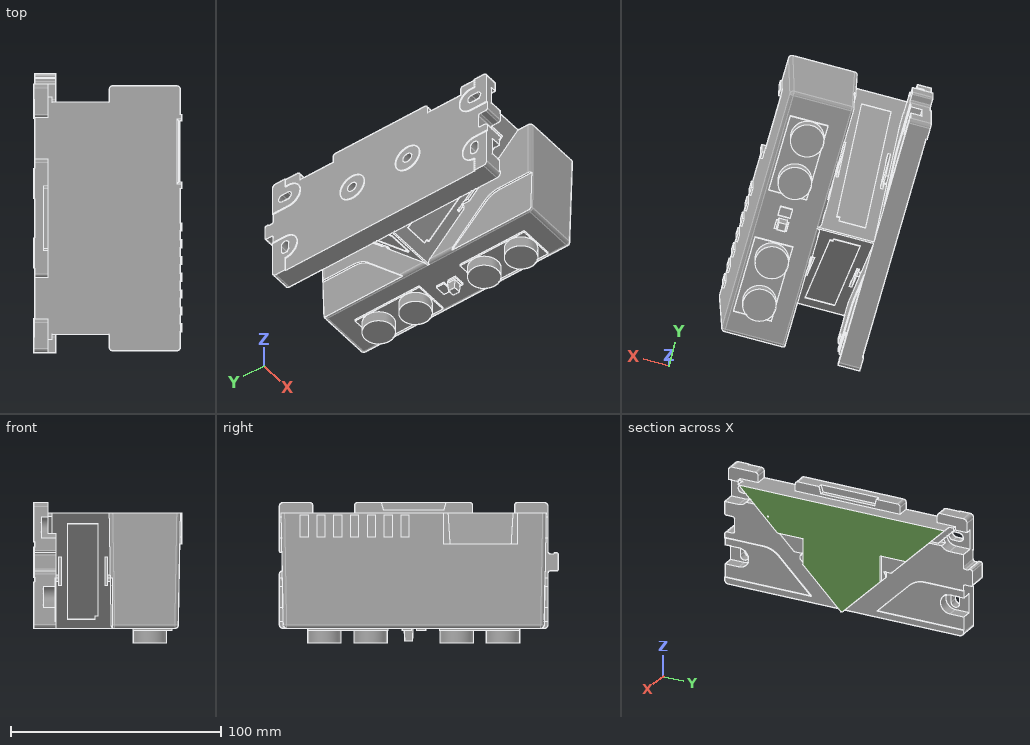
import cadquery as cq
overall_depth = 70.66
boss_bottom = -6.93
eps = 1.0

plate_half = 64.0
plate_top = 60.1
plate_back = 0.5
lug_front = 6.9
plate_front = 10.7
thick_plate_top = 45.3
corner_radius = 2.0
gap_inner = 28.1
gap_outer = 48.0
gap_radius = 1.5

tab_length = 4.83
tab_bottom = 27.4
tab_top = 36.1
tab_radius = 0.8
tab_root_radius = 1.0
tab_crest_y = 67.0
tab_dip_y = 66.5
tab_dip = 0.5
notch_depth = 5.3
notch_radius = 1.0
notch_top_mouth_radius = 1.0
notch_bottom_mouth_radius = 1.5

pad_y = 56.5
upper_slot_z = 48.2
lower_slot_z = 15.1
slot_length = 7.6
slot_width = 4.4
upper_pad_radius = 6.9
upper_pad_y = 54.5
lower_pad_radius = 7.1
screw_y = 16.5
screw_z = 31.6
screw_pad_radius = 7.2
screw_hole_radius = 2.6
end_pocket_radius = 5.0
upper_pocket_floor = 3.8
lower_pocket_floor = 4.65

clip_half = 15.4
clip_back = 4.65
clip_floor = 56.5
clip_end_slope = 1.0

body_top = 55.0
neck_half = 55.4
block_half = 63.1
block_back = 36.0
block_front = 69.9
block_draft = 1.0
block_radius = 1.7
hidden_front = block_front - 3.0
neck_start = 8.9
stop_half = 57.7
stop_height = 1.6

guide_spans = ((12.0, 13.3), (34.1, 35.2))
guide_top = 34.0
guide_bottom = 20.4
ledge_spans = ((10.2, 12.0), (35.2, 37.2))
ledge_top = 25.6
ledge_middle = 24.0
ledge_bottom = 22.4
ledge_lean = 0.8
side_recess_top = 24.0
side_recess_bend_y = 38.4
side_recess_radius = 12.0
block_recess_floor = 37.6
plate_recess_depth = 0.5
plate_recess_bottom = 3.3
label_x = (16.1, 30.7)
label_z = (4.4, 49.8)
label_corner = 1.5
label_depth = 0.2

frame_y = (14.1, 49.5)
frame_bottom = 40.2
window_y = (16.4, 47.3)
window_floor = 68.2
window_taper = 0.9
vent_count = 7
vent_pitch = 8.0
first_vent_y = -4.1
vent_width = 3.9
vent_front = 70.55
vent_bottom = 43.6

boss_x = 55.4
boss_radius = 8.0
boss_ys = (-42.5, -20.5, 20.5, 42.5)
plinth_x = (47.3, 66.0)
plinth_y = (12.2, 50.5)
plinth_drop = 1.0
foot_ys = ((1.3, 5.8), (-5.5, -1.1))
foot_length = 6.0
foot_embed = 1.7
pin_y = -2.4
pin_width = 4.4
pin_bottom = -6.0
pin_draft = 3.0


def box(x, y, z):
    """Box from (low, high) pairs along each axis."""
    corner = cq.Workplane("XY", origin=(x[0], y[0], z[0]))
    return corner.box(x[1] - x[0], y[1] - y[0], z[1] - z[0], centered=False)


def prism(points, x):
    """Y-Z polygon swept between two X positions."""
    return cq.Workplane("YZ").polyline(points).close().extrude(x[1] - x[0]).translate((x[0], 0, 0))


def cylinder(y, z, radius, x):
    """Round bar along X."""
    return cq.Workplane("YZ").center(y, z).circle(radius).extrude(x[1] - x[0]).translate((x[0], 0, 0))


def both_ends(shape):
    """The shape together with its mirror image in Y."""
    return shape.union(shape.mirror("XZ"))


def make_plate():
    x = (plate_back, plate_front)
    plate = box(x, (-plate_half, plate_half), (0, plate_top)).edges("|X").fillet(corner_radius)
    gap = box((0, plate_front + eps), (gap_inner, gap_outer), (body_top, plate_top))
    plate = plate.cut(both_ends(gap))
    for sign in (-1, 1):
        for y in (gap_inner, gap_outer):
            corner = cq.selectors.BoxSelector(
                (0, sign * y - eps, plate_top - eps), (plate_front + eps, sign * y + eps, plate_top + eps)
            )
            plate = plate.edges("|X").edges(corner).fillet(gap_radius)
    thin_zone = box((lug_front, plate_front + eps), (-plate_half, plate_half), (thick_plate_top, plate_top))
    plate = plate.cut(thin_zone)
    return plate.union(make_tab()).cut(make_notch())


def make_tab():
    """Tab with a shallow dip in its top and rounded roots where it meets the plate."""
    x = (plate_back, plate_front)
    root_y = plate_half + tab_root_radius
    dip_top = tab_top - tab_dip
    tip = plate_half + tab_length
    inner = plate_half - corner_radius
    tab = prism(
        [(inner, tab_bottom), (tip, tab_bottom), (tip, tab_top), (tab_crest_y, tab_top),
         (tab_dip_y, dip_top), (inner, dip_top)],
        x,
    )
    tab = tab.edges("|X and >Y").fillet(tab_radius)
    roots = box(x, (inner, root_y), (tab_bottom - tab_root_radius, dip_top + tab_root_radius))
    for z in (tab_bottom - tab_root_radius, dip_top + tab_root_radius):
        roots = roots.cut(cylinder(root_y, z, tab_root_radius, x))
    return tab.union(roots)


def make_notch():
    """Tool for the notch, whose mouth is rounded outwards at the end of the plate."""
    x = (0, plate_front + eps)
    notch = box(x, (-plate_half - eps, -plate_half + notch_depth), (tab_bottom, tab_top))
    notch = notch.edges("|X and >Y").fillet(notch_radius)
    mid_z = (tab_bottom + tab_top) / 2
    for edge_z, radius in ((tab_top, notch_top_mouth_radius), (tab_bottom, -notch_bottom_mouth_radius)):
        round_z = edge_z + radius
        inner_y = -plate_half + abs(radius)
        mouth = box(x, (-plate_half - eps, inner_y), (min(mid_z, round_z), max(mid_z, round_z)))
        notch = notch.union(mouth.cut(cylinder(inner_y, round_z, abs(radius), x)))
    return notch


def corner_pads():
    x = (0, lug_front)
    upper = cylinder(upper_pad_y, upper_slot_z, upper_pad_radius, x)
    upper = upper.union(
        box(x, (upper_pad_y, plate_half), (upper_slot_z - upper_pad_radius, upper_slot_z + upper_pad_radius))
    )
    upper = upper.union(box(x, (pad_y, plate_half), (upper_slot_z, plate_top)))
    lower = cylinder(pad_y, lower_slot_z, lower_pad_radius, x)
    lower = lower.union(box(x, (pad_y, plate_half), (0, lower_slot_z + lower_pad_radius)))
    rounded = box(x, (-plate_half, plate_half), (0, plate_top)).edges("|X").fillet(corner_radius)
    return both_ends(upper.union(lower).intersect(rounded))


def end_pocket(z, floor):
    """U-shaped pocket in the front of the plate, open at its end."""
    x = (floor, plate_front + eps)
    pocket = cylinder(pad_y, z, end_pocket_radius, x)
    return pocket.union(box(x, (pad_y, plate_half + eps), (z - end_pocket_radius, z + end_pocket_radius)))


def mounting_slot(z, angle):
    slot = cq.Workplane("YZ").center(pad_y, z).slot2D(slot_length, slot_width, angle)
    return slot.extrude(plate_front + eps)


def label_clip():
    half_floor = clip_half - clip_end_slope
    points = [(-clip_half, plate_top), (clip_half, plate_top), (half_floor, clip_floor), (-half_floor, clip_floor)]
    return prism(points, (clip_back, lug_front + eps))


def make_neck():
    """Middle of the housing, its two ends sloping inwards at 45 degrees to the bottom."""
    foot_half = neck_half - body_top
    points = [(-neck_half, body_top), (neck_half, body_top), (foot_half, 0), (-foot_half, 0)]
    neck = prism(points, (lug_front, hidden_front))
    stop_under = body_top - stop_height
    stop = [(0, body_top), (stop_half, body_top), (stop_half, stop_under), (stop_half - stop_under, 0), (0, 0)]
    return neck.union(both_ends(prism(stop, (lug_front, neck_start))))


def make_block():
    """Wide front of the housing, drafted all round towards the bottom."""
    mid_x = (block_back + block_front) / 2
    top = cq.Workplane("XY", origin=(mid_x, 0, body_top)).rect(block_front - block_back, 2 * block_half)
    block = top.extrude(-body_top, taper=block_draft)
    block = block.edges("not(|X or |Y)").fillet(block_radius)
    return block.faces("<Z").edges("not(<X)").fillet(block_radius)


def side_recess(x, bottom):
    """Shallow recess outside a line that runs level and then down at 45 degrees."""
    outer = plate_half + eps
    foot_y = side_recess_bend_y - side_recess_top
    region = prism(
        [(outer, side_recess_top), (side_recess_bend_y, side_recess_top), (foot_y - eps, -eps), (outer, -eps)], x
    )
    bend = cq.selectors.NearestToPointSelector((sum(x) / 2, side_recess_bend_y, side_recess_top))
    region = region.edges("|X").edges(bend).fillet(side_recess_radius)
    return both_ends(region.intersect(box(x, (0, outer), (bottom, body_top))))


def underside_y(z):
    """Y of the +Y sloping underside at height z."""
    return neck_half - body_top + z


def guide_slots():
    """Notches cut up into the slopes, each with an upright inner wall."""
    slot = [
        (underside_y(guide_top), guide_top),
        (underside_y(guide_bottom), guide_top),
        (underside_y(guide_bottom), guide_bottom),
    ]
    ledge = [
        (underside_y(ledge_top), ledge_top),
        (underside_y(ledge_bottom) - ledge_lean, ledge_top),
        (underside_y(ledge_bottom), ledge_middle),
        (underside_y(ledge_bottom), ledge_bottom),
    ]
    slots = cq.Workplane("XY")
    for points, spans in ((slot, guide_spans), (ledge, ledge_spans)):
        for span in spans:
            slots = slots.add(prism(points, span))
    return both_ends(slots.combine())


def label_recess():
    """Shallow rectangle, one corner clipped, on each sloping underside."""
    z_low, z_high = label_z
    strip = [
        (underside_y(z_low), z_low),
        (underside_y(z_high), z_high),
        (underside_y(z_high) - label_depth, z_high + label_depth),
        (underside_y(z_low) - label_depth, z_low + label_depth),
    ]
    recess = prism(strip, label_x)
    clipped = box((label_x[1] - label_corner, label_x[1]), (0, neck_half), (0, z_low + label_corner))
    return both_ends(recess.cut(clipped))


def front_frame():
    return box((hidden_front, overall_depth), frame_y, (frame_bottom, body_top))


def front_window():
    width = window_y[1] - window_y[0]
    x_size = 2 * (overall_depth - window_floor)
    depth = body_top - frame_bottom
    top = cq.Workplane("XY", origin=(overall_depth, sum(window_y) / 2, body_top))
    inset = 2 * window_taper
    return top.rect(x_size, width).workplane(offset=-depth).rect(x_size - inset, width - inset).loft()


def make_vents():
    vents = cq.Workplane("XY")
    for index in range(vent_count):
        y = first_vent_y - index * vent_pitch
        vents = vents.add(box(
            (hidden_front, vent_front),
            (y - vent_width / 2, y + vent_width / 2),
            (vent_bottom, body_top - eps),
        ))
    return vents.combine()


def cable_entries():
    entries = both_ends(box(plinth_x, plinth_y, (-plinth_drop, foot_embed)))
    for y in boss_ys:
        entries = entries.union(cq.Workplane("XY").center(boss_x, y).circle(boss_radius).extrude(boss_bottom))
    return entries


def centre_pin():
    feet_x = (boss_x - foot_length / 2, boss_x + foot_length / 2)
    pin = cq.Workplane("XY").center(boss_x, pin_y).rect(pin_width, pin_width).extrude(pin_bottom, taper=pin_draft)
    for foot_y in foot_ys:
        pin = pin.union(box(feet_x, foot_y, (-plinth_drop, foot_embed)))
    return pin


plate = make_plate().union(corner_pads())
plate = plate.cut(side_recess((plate_front - plate_recess_depth, plate_front + eps), plate_recess_bottom))
plate = plate.cut(both_ends(end_pocket(upper_slot_z, upper_pocket_floor)))
plate = plate.cut(both_ends(end_pocket(lower_slot_z, lower_pocket_floor)))
plate = plate.cut(both_ends(mounting_slot(upper_slot_z, 0).union(mounting_slot(lower_slot_z, 90))))
plate = plate.cut(label_clip())

block = make_block().cut(side_recess((block_back - eps, block_recess_floor), 0))
block = block.union(front_frame()).cut(front_window()).union(make_vents())
neck = make_neck().cut(guide_slots()).cut(label_recess())

result = plate.union(neck).union(block).union(cable_entries()).union(centre_pin())
result = result.union(both_ends(cylinder(screw_y, screw_z, screw_pad_radius, (0, plate_back))))
result = result.cut(both_ends(cylinder(screw_y, screw_z, screw_hole_radius, (0, plate_front))))